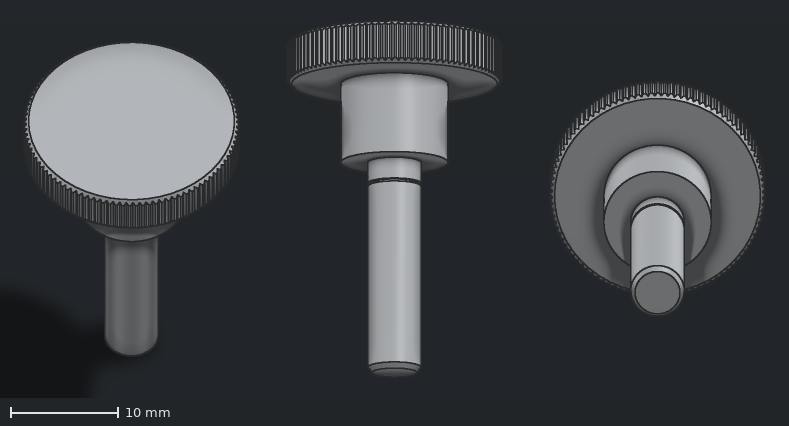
import cadquery as cq
import math

total_height = 31.5

head_radius = 10.0
head_height = 4.0
head_chamfer = 0.4
tooth_count = 100
tooth_depth = 0.205
tooth_groove_width = 2 * tooth_depth

boss_radius = head_radius / 2
boss_height = 7.5

pin_radius = head_radius / 4
neck_height = 2.0
groove_depth = 0.4
groove_height = 0.28
tip_chamfer_width = groove_depth
tip_chamfer_height = 0.5

head_bottom = total_height - head_height
boss_bottom = head_bottom - boss_height
neck_bottom = boss_bottom - neck_height
shank_top = neck_bottom - groove_height


def polar_point(radius, angle):
    """XY point at the given radius and angle (radians) about the axis."""
    return (radius * math.cos(angle), radius * math.sin(angle))


def make_toothed_disc():
    """Full-height disc with V grooves around the rim; one groove is centred on +X."""
    pitch = 2 * math.pi / tooth_count
    half_groove = math.asin(tooth_groove_width / 2 / head_radius)
    root_radius = head_radius - tooth_depth
    outline = cq.Workplane("XY").workplane(offset=head_bottom).moveTo(root_radius, 0)
    for tooth in range(tooth_count):
        start = tooth * pitch
        end = start + pitch
        outline = outline.lineTo(*polar_point(head_radius, start + half_groove))
        outline = outline.threePointArc(
            polar_point(head_radius, start + pitch / 2),
            polar_point(head_radius, end - half_groove),
        )
        if tooth < tooth_count - 1:
            outline = outline.lineTo(*polar_point(root_radius, end))
    return outline.close().extrude(head_height)


def make_head():
    """Knurled disc with both rims chamfered."""
    base = cq.Workplane("XY").workplane(offset=head_bottom)
    blank = base.circle(head_radius).extrude(head_height)
    blank = blank.edges("%CIRCLE").chamfer(head_chamfer)
    return blank.intersect(make_toothed_disc())


def make_stem():
    """Boss, neck, V-shaped undercut and shank turned in one profile."""
    profile = [
        (0, 0),
        (pin_radius - tip_chamfer_width, 0),
        (pin_radius, tip_chamfer_height),
        (pin_radius, shank_top),
        (pin_radius - groove_depth, neck_bottom),
        (pin_radius, neck_bottom),
        (pin_radius, boss_bottom),
        (boss_radius, boss_bottom),
        (boss_radius, head_bottom),
        (0, head_bottom),
    ]
    return cq.Workplane("XZ").polyline(profile).close().revolve(360, (0, 0, 0), (0, 1, 0))


result = make_head().union(make_stem())